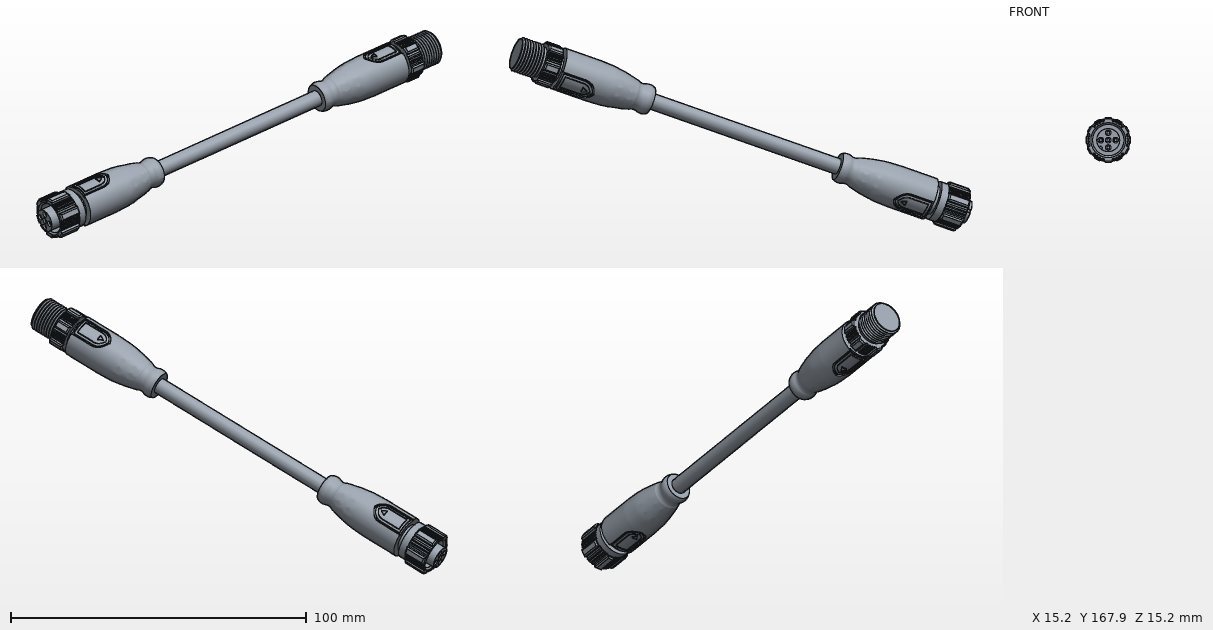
import cadquery as cq
import math


total_length = 167.9
nut_rib_radius = 7.6

cable_radius = 2.75
grip_length = 34.1
grip_radius = 7.3
grip_straight_length = 13.0
grip_shoulder_radius = 5.2
collar_length = 6.2
collar_neck_radius = 4.7
bead_radius = 5.25
bead_length = 3.1
bead_start_radius = 5.0
bead_crest_distance = 1.3
collar_end_radius = 4.7

label_width = 7.8
label_straight_length = 8.4
label_length = 13.3
label_depth = 0.6
label_raised_depth = 0.2
label_border = 0.6
label_rim_width = 0.9
label_tip_half_width = 1.2
label_tip_rise = 0.5
arrow_start = 8.8
arrow_length = 1.8
arrow_width = 2.0

thread_major_radius = 6.0
thread_minor_radius = 5.35
thread_pitch = 1.0
thread_turns = 8
thread_length = 9.1
thread_lead_in = 0.3
plug_nut_length = 5.4
plug_neck_length = 1.3
plug_neck_radius = 4.6
plug_nut_core_radius = 6.6

socket_neck_length = 1.6
socket_neck_radius = 5.0
socket_ring_length = 2.7
socket_ring_radius = 6.75
socket_nut_length = 7.8
socket_nut_core_radius = 6.4
socket_bore_radius = 5.3
socket_bore_depth = 8.0
bore_chamfer = 0.6
insert_radius = 3.9
insert_overhang = 2.0
contact_radius = 0.5
contact_mouth_radius = 0.95
contact_mouth_depth = 0.8
contact_circle_radius = 2.5
contact_depth = 5.0
key_width = 1.0
key_depth = 0.7
key_angle = 225

rib_count = 6
rib_width = 2.8
rib_chamfer = 0.5
knurls_per_gap = 3
knurl_spacing = 9
knurl_width = 0.6
knurl_height = 0.4

plug_tip = total_length / 2
plug_nut_front = plug_tip - thread_length
plug_nut_back = plug_nut_front - plug_nut_length
plug_grip_end = plug_nut_back - plug_neck_length
socket_tip = -total_length / 2
socket_nut_front = socket_tip + insert_overhang
socket_nut_back = socket_nut_front + socket_nut_length
socket_ring_back = socket_nut_back + socket_ring_length
socket_grip_end = socket_ring_back + socket_neck_length
overlap = 1.0


def cylinder(radius, start, end):
    """Round bar about the Y axis between two Y stations."""
    return cq.Workplane("XZ", origin=(0, end, 0)).circle(radius).extrude(end - start)


def revolve_about_y(profile):
    return profile.close().revolve(360, (0, 0, 0), (0, 1, 0))


def label_arch(margin):
    """Tall prism over the arched label, inset by a margin, with the grip end at y = 0."""
    half_width = label_width / 2 - margin
    tip_half_width = label_tip_half_width * half_width / (label_width / 2)
    tip = label_length - margin
    return (
        cq.Workplane("XY")
        .moveTo(0, margin)
        .lineTo(half_width, margin)
        .lineTo(half_width, label_straight_length)
        .tangentArcPoint((tip_half_width, tip - label_tip_rise), relative=False)
        .tangentArcPoint((0, tip), relative=False)
        .mirrorY()
        .extrude(nut_rib_radius)
    )


def label_recess():
    """Arched recess in the top of a grip, following its round surface, with a rim and an arrow left in it."""
    floor_radius = grip_radius - label_depth
    marks_radius = grip_radius - label_raised_depth
    rim = label_arch(label_border).cut(label_arch(label_border + label_rim_width))
    arrow = (
        cq.Workplane("XY")
        .moveTo(-arrow_width / 2, arrow_start)
        .lineTo(arrow_width / 2, arrow_start)
        .lineTo(0, arrow_start + arrow_length)
        .close()
        .extrude(nut_rib_radius)
    )
    raised = rim.union(arrow).intersect(cylinder(marks_radius, 0, grip_length))
    return label_arch(0).cut(cylinder(floor_radius, 0, grip_length)).cut(raised)


def grip():
    """Moulded grip with its nut end at y = 0 and its cable end at y = grip_length."""
    shoulder = grip_length - collar_length
    bead_start = grip_length - bead_length
    body = revolve_about_y(
        cq.Workplane("XY")
        .lineTo(grip_radius, 0)
        .lineTo(grip_radius, grip_straight_length)
        .tangentArcPoint((grip_shoulder_radius, shoulder), relative=False)
        .threePointArc((collar_neck_radius, (shoulder + bead_start) / 2), (bead_start_radius, bead_start))
        .threePointArc((bead_radius, bead_start + bead_crest_distance), (collar_end_radius, grip_length))
        .lineTo(0, grip_length)
    )
    recess = label_recess()
    return body.cut(recess).cut(recess.mirror("XY"))


def ribbed_nut(core_radius, start, end, first_rib_angle):
    """Round nut with six chamfered grip ribs and fine knurls between them."""
    length = end - start
    middle = (start + end) / 2
    nut = cylinder(core_radius, start, end)
    rib = (
        cq.Workplane("XY")
        .box(nut_rib_radius, rib_width, length)
        .faces(">X")
        .chamfer(rib_chamfer)
        .rotate((0, 0, 0), (1, 0, 0), 90)
        .translate((nut_rib_radius / 2, middle, 0))
    )
    knurl = cq.Workplane("XY").box(core_radius + knurl_height, length, knurl_width)
    knurl = knurl.translate(((core_radius + knurl_height) / 2, middle, 0))
    rib_pitch = 360 / rib_count
    for index in range(rib_count):
        rib_angle = first_rib_angle + index * rib_pitch
        nut = nut.union(rib.rotate((0, 0, 0), (0, 1, 0), rib_angle))
        for step in range(knurls_per_gap):
            offset = (step - (knurls_per_gap - 1) / 2) * knurl_spacing
            nut = nut.union(knurl.rotate((0, 0, 0), (0, 1, 0), rib_angle + rib_pitch / 2 + offset))
    return nut


def thread():
    """Male thread as a stack of V-shaped rings, running back from the plug tip."""
    profile = cq.Workplane("XY").moveTo(0, plug_tip).lineTo(thread_minor_radius, plug_tip)
    profile = profile.lineTo(thread_minor_radius, plug_tip - thread_lead_in)
    for turn in range(thread_turns):
        crest = plug_tip - thread_lead_in - (turn + 0.5) * thread_pitch
        profile = profile.lineTo(thread_major_radius, crest)
        profile = profile.lineTo(thread_minor_radius, crest - thread_pitch / 2)
    root_end = plug_nut_front - overlap
    profile = profile.lineTo(thread_minor_radius, root_end).lineTo(0, root_end)
    return revolve_about_y(profile)


def plug():
    nut = ribbed_nut(plug_nut_core_radius, plug_nut_back, plug_nut_front, 0)
    neck = cylinder(plug_neck_radius, plug_grip_end - overlap, plug_nut_back + overlap)
    return thread().union(nut).union(neck)


def contact_insert():
    """Round insert with five contact holes and a coding key slot."""
    insert = cylinder(insert_radius, socket_tip, socket_nut_front + socket_bore_depth + overlap)
    centres = [(0, 0)]
    for angle in range(0, 360, 90):
        turn = math.radians(angle)
        centres.append((contact_circle_radius * math.cos(turn), contact_circle_radius * math.sin(turn)))
    hole = cylinder(contact_radius, socket_tip, socket_tip + contact_depth)
    hole = hole.union(cylinder(contact_mouth_radius, socket_tip, socket_tip + contact_mouth_depth))
    for x, z in centres:
        insert = insert.cut(hole.translate((x, 0, z)))
    key = cq.Workplane("XY").box(2 * key_depth, 2 * contact_depth, key_width)
    key = key.translate((insert_radius, socket_tip, 0)).rotate((0, 0, 0), (0, 1, 0), -key_angle)
    return insert.cut(key)


def socket():
    nut = ribbed_nut(socket_nut_core_radius, socket_nut_front, socket_nut_back, 90)
    ring = cylinder(socket_ring_radius, socket_nut_back, socket_ring_back)
    neck = cylinder(socket_neck_radius, socket_ring_back - overlap, socket_grip_end + overlap)
    bore = revolve_about_y(
        cq.Workplane("XY")
        .moveTo(0, socket_nut_front)
        .lineTo(socket_bore_radius + bore_chamfer, socket_nut_front)
        .lineTo(socket_bore_radius, socket_nut_front + bore_chamfer)
        .lineTo(socket_bore_radius, socket_nut_front + socket_bore_depth)
        .lineTo(0, socket_nut_front + socket_bore_depth)
    )
    return nut.union(ring).union(neck).cut(bore).union(contact_insert())


cable = cylinder(cable_radius, socket_grip_end + grip_length - overlap, plug_grip_end - grip_length + overlap)
socket_grip = grip().translate((0, socket_grip_end, 0))
plug_grip = grip().mirror("XZ").translate((0, plug_grip_end, 0))

result = cable.union(socket_grip).union(plug_grip).union(socket()).union(plug())